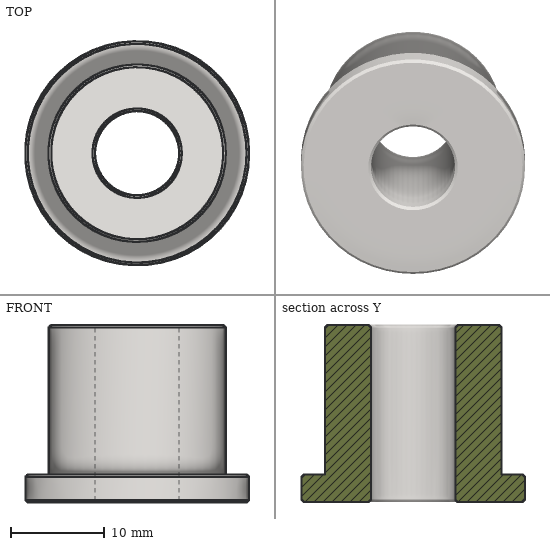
import cadquery as cq

flange_diameter = 24.0
flange_thickness = 3.0
body_diameter = 19.0
total_height = 19.0
bore_diameter = 9.0
edge_chamfer = 0.3


def chamfered_disc(diameter, height, edges):
    """Disc standing on Z = 0 with the selected rim edges chamfered."""
    disc = cq.Workplane("XY").circle(diameter / 2).extrude(height)
    return disc.edges(edges).chamfer(edge_chamfer)


def chamfered_bore():
    """Cutting tool for the through bore, widened at both mouths."""
    bore_radius = bore_diameter / 2
    mouth_radius = bore_radius + edge_chamfer
    profile = (
        cq.Workplane("XZ")
        .moveTo(0, 0)
        .lineTo(mouth_radius, 0)
        .lineTo(bore_radius, edge_chamfer)
        .lineTo(bore_radius, total_height - edge_chamfer)
        .lineTo(mouth_radius, total_height)
        .lineTo(0, total_height)
        .close()
    )
    return profile.revolve(360, (0, 0, 0), (0, 1, 0))


flange = chamfered_disc(flange_diameter, flange_thickness, "%CIRCLE")
body = chamfered_disc(body_diameter, total_height, ">Z")

result = flange.union(body).cut(chamfered_bore())